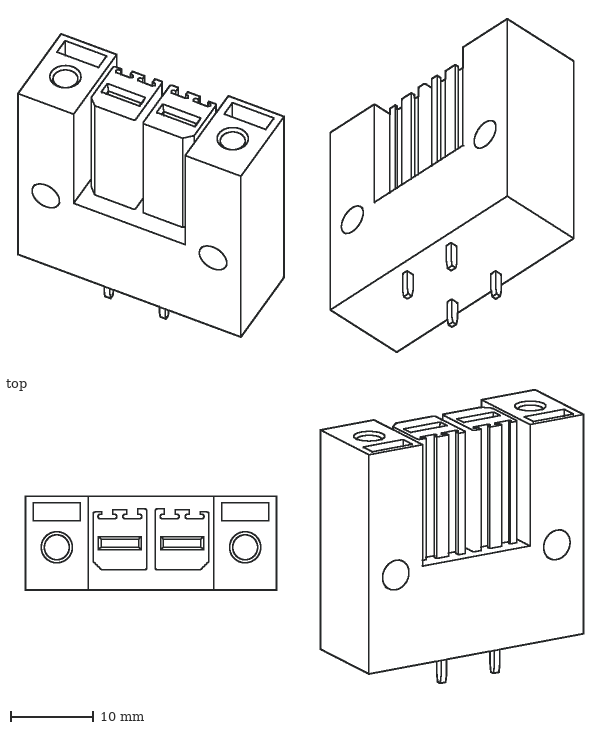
import cadquery as cq

width = 30.5
depth = 11.4
overall_height = 31.5
pin_length = 3.5
height = overall_height - pin_length

notch_width = 15.25
notch_floor = 12.5
ear_x = (width + notch_width) / 4

pole_x = 3.78
tower_width = 6.52
tower_front = -3.25
tower_chamfer = 1.05
tower_fillet = 0.25
outer_hook_y = 3.78
middle_rail_y = 4.03
inner_hook_y = 4.15

slot_floor_y = 2.95
slot_offset = 1.5
slot_mouth = 1.32
undercut_width = 2.3
undercut_height = 0.55

opening_length = 4.57
opening_width = 0.98
lead_in = 0.3
lead_in_depth = 0.88
opening_depth = height - notch_floor

cross_hole_diameter = 3.75
cross_hole_z = 12.0
cross_hole_wall = 0.47
arch_radius = cross_hole_diameter / 2 + cross_hole_wall
screw_hole_diameter = 3.02
screw_hole_y = -0.5
screw_hole_chamfer = 0.38
pocket_length = 5.67
pocket_width = 2.17
pocket_y = 3.8

pin_thickness = 0.8
pin_width = 1.0
pin_row_y = 3.8
pin_tip_length = 0.98
pin_tip_taper = 0.2


def make_block():
    """Block with the notch cut through it from front to rear."""
    block = cq.Workplane("XY").box(width, depth, height, centered=(True, True, False))
    notch = (
        cq.Workplane("XY")
        .workplane(offset=notch_floor)
        .rect(notch_width, depth)
        .extrude(height - notch_floor)
    )
    return block.cut(notch)


def make_tower_blank():
    """Tower without cuts, centred on X = 0; its rear steps back further towards -X."""
    half = tower_width / 2
    outline = (
        cq.Workplane("XY")
        .workplane(offset=notch_floor)
        .moveTo(-half, tower_front)
        .lineTo(half - tower_chamfer, tower_front)
        .lineTo(half, tower_front + tower_chamfer)
        .lineTo(half, outer_hook_y)
        .lineTo(slot_offset, outer_hook_y)
        .lineTo(slot_offset, middle_rail_y)
        .lineTo(-slot_offset, middle_rail_y)
        .lineTo(-slot_offset, inner_hook_y)
        .lineTo(-half, inner_hook_y)
        .close()
    )
    tower = outline.extrude(height - notch_floor)
    tower = tower.edges("|Z").edges("<X").fillet(tower_fillet)
    return tower.edges("|Z").edges(">X").edges(">Y").fillet(tower_fillet)


def make_t_slot(x):
    """T-slot cutter: a straight mouth over an undercut with round ends."""
    tower_height = height - notch_floor
    base = cq.Workplane("XY").workplane(offset=notch_floor)
    mouth_depth = inner_hook_y - slot_floor_y
    mouth = (
        base.center(x, slot_floor_y + mouth_depth / 2)
        .rect(slot_mouth, mouth_depth)
        .extrude(tower_height)
    )
    undercut = (
        base.center(x, slot_floor_y + undercut_height / 2)
        .slot2D(undercut_width, undercut_height)
        .extrude(tower_height)
    )
    return mouth.union(undercut)


def make_contact_opening():
    """Blind rectangular opening cutter with a tapered lead-in at the top."""
    top = cq.Workplane("XY").workplane(offset=height)
    straight = top.rect(opening_length, opening_width).extrude(-opening_depth)
    funnel = (
        top.rect(opening_length + 2 * lead_in, opening_width + 2 * lead_in)
        .workplane(offset=-lead_in_depth)
        .rect(opening_length, opening_width)
        .loft(ruled=True)
    )
    return straight.union(funnel)


def make_right_tower():
    tower = make_tower_blank()
    for x in (-slot_offset, slot_offset):
        tower = tower.cut(make_t_slot(x))
    return tower.cut(make_contact_opening()).translate((pole_x, 0, 0))


def make_cross_hole(x, radius):
    """Cylinder along Y through the whole depth of an ear."""
    return (
        cq.Workplane("XZ", origin=(x, depth / 2, cross_hole_z))
        .circle(radius)
        .extrude(depth)
    )


def make_screw_hole(x):
    """Chamfered hole from the top, ending on the round wall over the cross hole."""
    radius = screw_hole_diameter / 2
    top = cq.Workplane("XY", origin=(x, screw_hole_y, height))
    hole = top.circle(radius).extrude(cross_hole_z - height)
    countersink = cq.Solid.makeCone(
        radius + screw_hole_chamfer,
        radius,
        screw_hole_chamfer,
        pnt=cq.Vector(x, screw_hole_y, height),
        dir=cq.Vector(0, 0, -1),
    )
    return hole.cut(make_cross_hole(x, arch_radius)).union(cq.Workplane(countersink))


def make_pocket(x):
    """Rear pocket whose floor arches over the cross hole, with a round groove on each side."""
    half = pocket_length / 2
    groove_radius = (half - arch_radius) / 2
    groove_x = half - groove_radius
    top = height - cross_hole_z
    return (
        cq.Workplane("XZ", origin=(x, pocket_y + pocket_width / 2, cross_hole_z))
        .moveTo(-half, top)
        .lineTo(-half, 0)
        .threePointArc((-groove_x, -groove_radius), (-arch_radius, 0))
        .threePointArc((0, arch_radius), (arch_radius, 0))
        .threePointArc((groove_x, -groove_radius), (half, 0))
        .lineTo(half, top)
        .close()
        .extrude(pocket_width)
    )


def make_housing():
    housing = make_block()
    right_tower = make_right_tower()
    housing = housing.union(right_tower).union(right_tower.mirror("YZ"))
    for x in (-ear_x, ear_x):
        housing = housing.cut(make_cross_hole(x, cross_hole_diameter / 2))
        housing = housing.cut(make_screw_hole(x)).cut(make_pocket(x))
    return housing


def make_pin(x, y):
    """Flat solder pin under the housing, its tip narrowing in Y."""
    half = pin_width / 2
    tip_half = half - pin_tip_taper
    shoulder = pin_tip_length - pin_length
    return (
        cq.Workplane("YZ", origin=(x, y, 0))
        .polyline(
            [
                (-half, 0),
                (-half, shoulder),
                (-tip_half, -pin_length),
                (tip_half, -pin_length),
                (half, shoulder),
                (half, 0),
            ]
        )
        .close()
        .extrude(pin_thickness / 2, both=True)
    )


housing = make_housing()
pins = [make_pin(x, y) for x in (-pole_x, pole_x) for y in (-pin_row_y, pin_row_y)]

result = cq.Compound.makeCompound([housing.val(), *[pin.val() for pin in pins]])